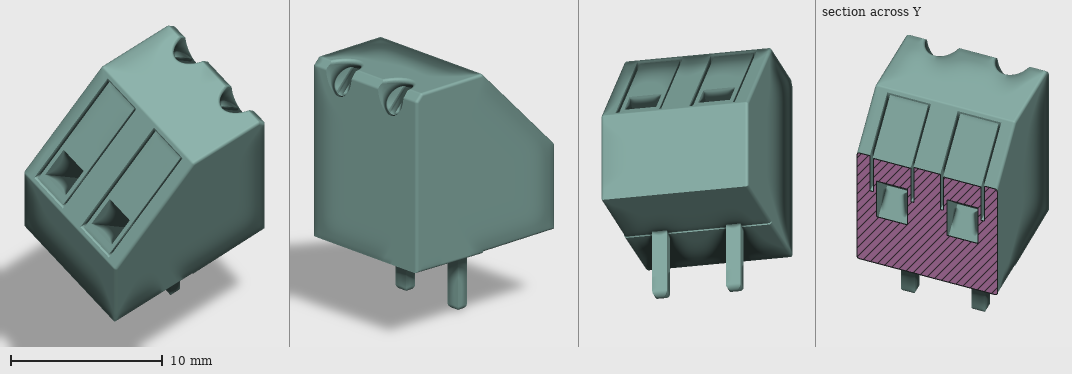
import math

import cadquery as cq


pole_count = 2
pole_pitch = 5.0
housing_width = pole_count * pole_pitch
front_y = -6.5
back_y = 6.0
housing_height = 12.5
slope_top_y = 0.0
slope_run = slope_top_y - front_y
slope_bottom_z = housing_height - slope_run
rear_bevel = 0.5
pin_y = 0.0
foot_drop = 0.1
foot_height = 2.0
edge_radius = 0.2

recess_width = 3.1
recess_margin = 0.2
side_gap = 0.2
insert_width = recess_width - 2 * side_gap
insert_setback = 0.15
wire_hole_size = 2.16
wire_hole_height = 1.37
wire_hole_depth = 4.0

screw_axis_y = 6.33
screw_bore_diameter = 2.46
screw_diameter = 2.16
screw_recess = 1.58
screw_head_height = 0.6
screw_rim_radius = 0.15
slot_width = 0.65
slot_depth = 0.25

pin_width = 1.0
pin_thickness = 0.8
pin_tip_z = -4.6
pin_tip_radius = 0.35

overlap = 1.0

pole_positions = [(i - (pole_count - 1) / 2) * pole_pitch for i in range(pole_count)]


def extrude_across(points, width, x_center=0.0):
    """Prism of a (y, z) outline, extruded along X about x_center."""
    start = cq.Workplane("YZ", origin=(x_center - width / 2, 0, 0))
    return start.polyline(points).close().extrude(width)


def make_housing():
    """Body with the screw bores; outer edges and bore rims on the top face are rounded together."""
    outline = [
        (front_y, 0),
        (back_y, 0),
        (back_y, housing_height - rear_bevel),
        (back_y - rear_bevel, housing_height),
        (slope_top_y, housing_height),
        (front_y, slope_bottom_z),
    ]
    body = extrude_across(outline, housing_width)
    for x in pole_positions:
        body = body.cut(screw_bore(x))
    bore_rims = body.faces(">Z").edges("%ELLIPSE")
    side_edges = body.faces("<X or >X").edges()
    cross_edges = body.edges("|X and (not <Z)")
    return side_edges.add(cross_edges).add(bore_rims).fillet(edge_radius)


def make_foot():
    """Lower rear block whose sloping underside ends in a small step at the pins."""
    outline = [
        (pin_y, -foot_drop),
        (back_y, 0),
        (back_y, foot_height),
        (pin_y, foot_height),
    ]
    foot = extrude_across(outline, housing_width)
    underside = foot.faces("<Z").edges("not |X")
    return foot.edges("|Z and >Y").add(underside).fillet(edge_radius)


def entry_wedge(x_center, width, setback):
    """Right-angled wedge between the recess floor, its back wall and a 45-degree face.

    The setback of that face from the housing slope is along Y; a negative one reaches outside.
    """
    floor_z = slope_bottom_z + recess_margin
    wall_y = slope_top_y - recess_margin
    slope_front_y = front_y + recess_margin + setback
    slope_top_z = housing_height - recess_margin - setback
    outline = [(slope_front_y, floor_z), (wall_y, floor_z), (wall_y, slope_top_z)]
    return extrude_across(outline, width, x_center)


def wire_hole(x_center):
    """Square hole sunk at right angles into the insert slope."""
    mouth_y = front_y + insert_setback + wire_hole_height
    mouth_z = slope_bottom_z + wire_hole_height
    mouth = cq.Plane(
        origin=(x_center, mouth_y, mouth_z),
        xDir=(1, 0, 0),
        normal=(0, -1, 1),
    )
    hole = cq.Workplane(mouth).rect(wire_hole_size, wire_hole_size)
    return hole.extrude(-wire_hole_depth)


def screw_plane(x_center, depth):
    """Plane square to the screw axis, at a depth along the axis below the housing top."""
    inward = depth / math.sqrt(2)
    return cq.Plane(
        origin=(x_center, screw_axis_y - inward, housing_height - inward),
        xDir=(1, 0, 0),
        normal=(0, 1, 1),
    )


def screw_bore(x_center):
    """Round bore for the screw, breaking through the rear top edge of the housing."""
    depth = screw_recess + screw_head_height
    bore = cq.Workplane(screw_plane(x_center, depth)).circle(screw_bore_diameter / 2)
    return bore.extrude(depth + screw_bore_diameter)


def screw_head(x_center):
    """Slotted head with a rounded rim, rooted below the bore floor."""
    base = screw_plane(x_center, screw_recess + screw_head_height + overlap)
    head = cq.Workplane(base).circle(screw_diameter / 2).extrude(screw_head_height + overlap)
    outer_end = cq.selectors.DirectionMinMaxSelector(cq.Vector(0, 1, 1))
    head = head.faces(outer_end).edges().fillet(screw_rim_radius)
    slot = cq.Workplane(screw_plane(x_center, screw_recess + slot_depth))
    slot = slot.rect(slot_width, screw_diameter + overlap).extrude(slot_depth + overlap)
    return head.cut(slot)


def solder_pin(x_center):
    """Rectangular pin with rounded tip edges, rooted in the housing."""
    pin = cq.Workplane("XY", origin=(x_center, pin_y, pin_tip_z)).rect(pin_width, pin_thickness)
    pin = pin.extrude(overlap - pin_tip_z)
    return pin.faces("<Z").edges().fillet(pin_tip_radius)


result = make_housing().union(make_foot())
for x in pole_positions:
    result = result.cut(entry_wedge(x, recess_width, -overlap))
    result = result.union(entry_wedge(x, insert_width, insert_setback))
    result = result.cut(wire_hole(x))
    result = result.union(screw_head(x))
    result = result.union(solder_pin(x))